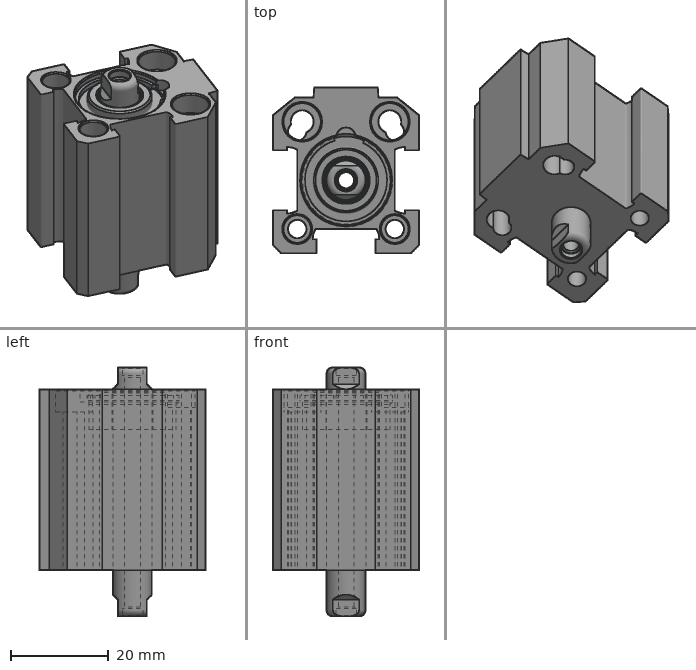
import cadquery as cq
import math


housing_height = 37.05
half_width = 15.0
shoulder_y = 17.0
top_corner_x = 10.45
top_corner_y = 13.3
rail_y = 19.0
rail_top_half_width = 6.55
rail_base_half_width = 6.7
bottom_chamfer = 1.75

slot_floor = 10.0
slot_ledge = 12.1
side_slot_mouth_half = 6.1
bottom_slot_mouth_half = 6.0
slot_undercut_half = 6.8
slot_corner_round = 0.25
slot_floor_half = 6.2
lip_round = 0.25

bolt_offset = 10.0
bolt_hole_diameter = 3.7
bolt_bore_diameter = 5.6
port_x = 9.0
port_y = 12.0
port_hole_diameter = 4.65
port_bore_diameter = 7.6
bolt_bore_depth = 3.65
port_bore_depth = 4.6
mouth_chamfer = 0.28

bore_diameter = 17.9
entry_diameter = 18.3
entry_mouth_diameter = 18.85
groove_diameter = 19.0
groove_top_depth = 1.2
groove_bottom_depth = 2.5
notch_y = 8.8
notch_diameter = 4.0

ring_inner_diameter = 16.85
ring_thickness = 1.0
ring_gap_left_angle = 16.0
ring_gap_right_angle = 24.5

cover_face_depth = groove_top_depth + ring_thickness
cover_seat_depth = 8.15
boss_top_depth = 0.2
boss_diameter = 13.2
boss_chamfer = 0.35
boss_base_fillet = 0.35
rod_clearance_diameter = 8.4
recess_diameter = 9.2
recess_depth = 0.3
recess_chamfer = 0.28
rod_clearance_chamfer = 0.15

rod_diameter = 8.0
rod_length = 51.0
rod_top_overhang = 4.5
rod_end_fillet = 1.3
flat_width = 5.95
flat_length = 3.4
rod_bore_diameter = 3.25
rod_socket_diameter = 4.25
rod_socket_depth = 1.65
rod_socket_chamfer = 0.2
rod_bore_chamfer = 0.33


def cylinder(diameter, bottom, top, x=0.0, y=0.0):
    """Upright cylinder between two heights."""
    return cq.Workplane("XY", origin=(x, y, bottom)).circle(diameter / 2).extrude(top - bottom)


def cone(bottom_diameter, top_diameter, bottom, top, x=0.0, y=0.0):
    """Upright truncated cone between two heights."""
    base = cq.Workplane("XY", origin=(x, y, bottom)).circle(bottom_diameter / 2)
    return base.workplane(offset=top - bottom).circle(top_diameter / 2).loft()


def chamfered_bore(diameter, depth, chamfer, face, x=0.0, y=0.0):
    """Cutter for a blind bore with a chamfered mouth, sunk from a height called face."""
    bore = cylinder(diameter, face - depth, face, x, y)
    return bore.union(cone(diameter, diameter + 2 * chamfer, face - chamfer, face, x, y))


def make_block():
    """Outer prism of the housing, without slots and holes."""
    right_side = [
        (half_width - bottom_chamfer, -half_width),
        (half_width, -half_width + bottom_chamfer),
        (half_width, top_corner_y),
        (top_corner_x, shoulder_y),
        (rail_base_half_width, shoulder_y),
        (rail_top_half_width, rail_y),
    ]
    left_side = [(-x, y) for x, y in reversed(right_side)]
    return cq.Workplane("XY").polyline(right_side + left_side).close().extrude(housing_height)


def make_slot(mouth_half):
    """Cutter for the undercut slot that opens to +X; its undercut ends in arcs level with the ledge."""
    run = slot_ledge - slot_floor
    rise = slot_undercut_half - slot_floor_half
    arc_radius = (run**2 + rise**2) / (2 * rise)
    arc_middle_x = slot_ledge - run / 2
    arc_middle_y = slot_undercut_half - arc_radius + math.sqrt(arc_radius**2 - (run / 2) ** 2)
    return (
        cq.Workplane("XY")
        .moveTo(slot_floor, -slot_floor_half)
        .lineTo(slot_floor, slot_floor_half)
        .threePointArc((arc_middle_x, arc_middle_y), (slot_ledge, slot_undercut_half))
        .lineTo(slot_ledge, mouth_half)
        .lineTo(half_width, mouth_half)
        .lineTo(half_width, -mouth_half)
        .lineTo(slot_ledge, -mouth_half)
        .lineTo(slot_ledge, -slot_undercut_half)
        .threePointArc((arc_middle_x, -arc_middle_y), (slot_floor, -slot_floor_half))
        .close()
        .extrude(housing_height)
    )


def make_bore():
    """Cutter for the stepped bore: mouth chamfer, ring groove, cover seat and rod hole."""
    bore_radius = bore_diameter / 2
    entry_radius = entry_diameter / 2
    mouth_radius = entry_mouth_diameter / 2
    groove_radius = groove_diameter / 2
    rod_radius = rod_diameter / 2
    mouth_chamfer_z = housing_height - (mouth_radius - entry_radius)
    groove_top = housing_height - groove_top_depth
    groove_bottom = housing_height - groove_bottom_depth
    lead_in_bottom = groove_bottom - (groove_radius - bore_radius)
    seat = housing_height - cover_seat_depth
    half_section = [
        (0, 0),
        (rod_radius, 0),
        (rod_radius, seat),
        (bore_radius, seat),
        (bore_radius, lead_in_bottom),
        (groove_radius, groove_bottom),
        (groove_radius, groove_top),
        (entry_radius, groove_top),
        (entry_radius, mouth_chamfer_z),
        (mouth_radius, housing_height),
        (0, housing_height),
    ]
    return cq.Workplane("XZ").polyline(half_section).close().revolve(360, (0, 0), (0, 1))


def round_upright_edges(body, points, radius):
    """Round the upright edges of the housing that stand at the given XY points."""
    for x, y in points:
        nearest = cq.selectors.NearestToPointSelector((x, y, housing_height / 2))
        body = body.edges("|Z").edges(nearest).fillet(radius)
    return body


def make_housing():
    housing = make_block()
    slot_mouths = {0: side_slot_mouth_half, 180: side_slot_mouth_half, 270: bottom_slot_mouth_half}
    for angle, mouth_half in slot_mouths.items():
        housing = housing.cut(make_slot(mouth_half).rotate((0, 0, 0), (0, 0, 1), angle))
    for side in (-1, 1):
        lips = [
            (side * half_width, -side_slot_mouth_half),
            (side * half_width, side_slot_mouth_half),
            (side * bottom_slot_mouth_half, -half_width),
        ]
        floor_corners = [
            (side * slot_floor, -slot_floor_half),
            (side * slot_floor, slot_floor_half),
            (side * slot_floor_half, -slot_floor),
        ]
        housing = round_upright_edges(housing, lips, lip_round)
        housing = round_upright_edges(housing, floor_corners, slot_corner_round)

    housing = housing.cut(make_bore())
    notch_floor = housing_height - groove_bottom_depth
    housing = housing.cut(cylinder(notch_diameter, notch_floor, housing_height, 0, notch_y))

    bolt_floor = housing_height - bolt_bore_depth
    port_floor = housing_height - port_bore_depth
    for side in (-1, 1):
        bolt_x = side * bolt_offset
        port_side_x = side * port_x
        housing = housing.cut(
            chamfered_bore(
                bolt_bore_diameter, bolt_bore_depth, mouth_chamfer, housing_height, bolt_x, -bolt_offset
            )
        )
        housing = housing.cut(
            chamfered_bore(
                port_bore_diameter, port_bore_depth, mouth_chamfer, housing_height, port_side_x, port_y
            )
        )
        housing = housing.cut(cylinder(port_hole_diameter, 0, port_floor, port_side_x, port_y))
        housing = housing.cut(cylinder(bolt_hole_diameter, 0, port_floor, bolt_x, bolt_offset))
        housing = housing.cut(cylinder(bolt_hole_diameter, 0, bolt_floor, bolt_x, -bolt_offset))
    return housing


def make_retaining_ring():
    """Flat ring in the groove, open next to the notch."""
    top = housing_height - groove_top_depth
    bottom = top - ring_thickness
    ring = cylinder(groove_diameter, bottom, top).cut(cylinder(ring_inner_diameter, bottom, top))
    left = math.radians(ring_gap_left_angle)
    right = math.radians(ring_gap_right_angle)
    reach = groove_diameter
    gap = (
        cq.Workplane("XY", origin=(0, 0, bottom))
        .polyline(
            [
                (0, 0),
                (reach * math.sin(right), reach * math.cos(right)),
                (-reach * math.sin(left), reach * math.cos(left)),
            ]
        )
        .close()
        .extrude(ring_thickness)
    )
    return ring.cut(gap)


def make_head_cover():
    """Disc under the retaining ring, with a boss that ends just below the housing top."""
    bottom = housing_height - cover_seat_depth
    face = housing_height - cover_face_depth
    boss_top = housing_height - boss_top_depth
    boss_radius = boss_diameter / 2
    fillet_middle = boss_base_fillet * (1 - math.sqrt(0.5))
    cover = (
        cq.Workplane("XZ")
        .moveTo(0, bottom)
        .lineTo(bore_diameter / 2, bottom)
        .lineTo(bore_diameter / 2, face)
        .lineTo(boss_radius + boss_base_fillet, face)
        .threePointArc(
            (boss_radius + fillet_middle, face + fillet_middle), (boss_radius, face + boss_base_fillet)
        )
        .lineTo(boss_radius, boss_top - boss_chamfer)
        .lineTo(boss_radius - boss_chamfer, boss_top)
        .lineTo(0, boss_top)
        .close()
        .revolve(360, (0, 0), (0, 1))
    )
    recess_floor = boss_top - recess_depth
    rod_hole = chamfered_bore(
        rod_clearance_diameter, recess_floor - bottom, rod_clearance_chamfer, recess_floor
    )
    recess = chamfered_bore(recess_diameter, recess_depth, recess_chamfer, boss_top)
    return cover.cut(rod_hole).cut(recess)


def make_flat_cutter(end):
    """Cutter for the two wrench flats below the rod end at height end, with 45 degree run-outs."""
    half_flat = flat_width / 2
    reach = rod_diameter
    flat_end = end - flat_length
    section = [
        (half_flat, end),
        (half_flat, flat_end),
        (half_flat + reach, flat_end - reach),
        (half_flat + reach, end),
    ]
    flat = cq.Workplane("YZ").polyline(section).close().extrude(rod_diameter / 2, both=True)
    return flat.union(flat.mirror("XZ"))


def make_end_cutter(end):
    """Cutter for everything machined into the rod end at height end: flats and a stepped socket."""
    socket = chamfered_bore(rod_socket_diameter, rod_socket_depth, rod_socket_chamfer, end)
    ledge = end - rod_socket_depth
    inner = chamfered_bore(rod_bore_diameter, rod_bore_chamfer, rod_bore_chamfer, ledge)
    return make_flat_cutter(end).union(socket).union(inner)


def make_piston_rod():
    """Hollow rod through the whole housing, machined alike at both ends."""
    half_length = rod_length / 2
    rod = cylinder(rod_diameter, -half_length, half_length)
    rod = rod.faces("<Z or >Z").edges().fillet(rod_end_fillet)
    rod = rod.cut(cylinder(rod_bore_diameter, -half_length, half_length))
    end_cutter = make_end_cutter(half_length)
    rod = rod.cut(end_cutter).cut(end_cutter.mirror("XY"))
    return rod.translate((0, 0, housing_height + rod_top_overhang - half_length))


housing = make_housing()
retaining_ring = make_retaining_ring()
head_cover = make_head_cover()
piston_rod = make_piston_rod()

result = cq.Compound.makeCompound(
    [housing.val(), retaining_ring.val(), head_cover.val(), piston_rod.val()]
)